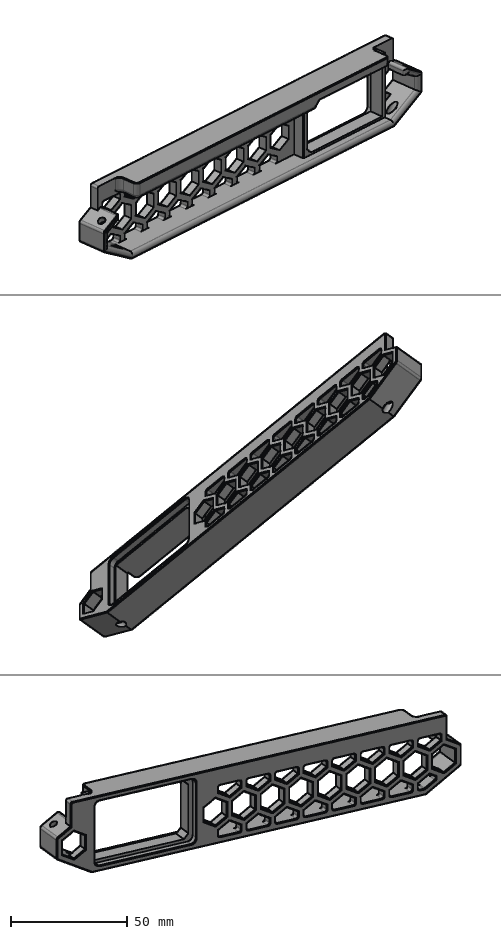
import cadquery as cq
import math

DEPTH = 15.0
LENGTH = 200.0
HEIGHT = 35.5

PLATE_THICKNESS = 4.5
EDGE_CHAMFER = 0.4
EAR_CORNER_RADIUS = 1.5
PANEL_CORNER_RADIUS = 1.0
GRIP = 0.1
SLOPE_ANGLE = math.radians(30)
ARC_MIDDLE = 1 - math.sqrt(0.5)
SIN_30 = math.sin(SLOPE_ANGLE)
COS_30 = math.cos(SLOPE_ANGLE)
TAN_30 = math.tan(SLOPE_ANGLE)

HEX_FLATS = 11.2
HEX_PITCH = 14.12
HEX_CENTER_Z = 15.0
EAR_APOTHEM = 8.56
EAR_CENTER_Y = LENGTH / 2 - EAR_APOTHEM
ROW_SPACING = HEX_PITCH * COS_30
FULL_HEX_COUNT = 9
PART_HEX_COUNT = 8
CELL_CORNER_RADIUS = 1.0

PANEL_HALF_LENGTH = 93.0
EAR_CORNER_RISE = EAR_APOTHEM * TAN_30
EAR_LOW_Z = HEX_CENTER_Z - EAR_CORNER_RISE
EAR_HIGH_Z = HEX_CENTER_Z + EAR_CORNER_RISE
SHOULDER_Z = EAR_HIGH_Z + (LENGTH / 2 - PANEL_HALF_LENGTH) * TAN_30
BOTTOM_HALF_LENGTH = LENGTH / 2 - EAR_LOW_Z / TAN_30

FLANGE_HALF_LENGTH = 79.5
FLANGE_BOTTOM_Z = 27.5
FLANGE_RADIUS = 2.0
FLANGE_ROOT_RADIUS = 2.5

RIM_WALL = EAR_APOTHEM - HEX_FLATS / 2
RIM_END_Y = 89.9
RIM_END_RADIUS = 1.2
RIM_INNER_RADIUS = 1.9

WINDOW_CENTER_Y = 56.6
WINDOW_CENTER_Z = 17.8
WINDOW_LENGTH = 47.0
WINDOW_HEIGHT = 27.5
WINDOW_CORNER = 2.3
RECESS_CENTER_Y = 56.1
RECESS_LENGTH = 50.0
RECESS_HEIGHT = 30.5
RECESS_DEPTH = 3.2
RECESS_RADIUS = 2.5
FRAME_BACK_X = 10.0
FRAME_WALL = 2.5

SCREW_DIAMETER = 3.4
SCREW_X = 9.8
SCREW_OFFSET_Y = 0.5


def prism(points, start_x, end_x):
    """Extrude a closed (Y, Z) outline along X."""
    return cq.Workplane("YZ", origin=(start_x, 0, 0)).polyline(points).close().extrude(end_x - start_x)


def block(start_x, end_x, start_y, end_y, start_z, end_z):
    """Box between two corners."""
    size = (end_x - start_x, end_y - start_y, end_z - start_z)
    return cq.Workplane("XY").box(*size, centered=False).translate((start_x, start_y, start_z))


def hexagon(center_y, center_z, apothem, start_x, end_x):
    """Hexagonal prism along X with a corner pointing up."""
    radius = apothem / COS_30
    points = []
    for corner in range(6):
        angle = math.radians(30 + 60 * corner)
        points.append((center_y + radius * math.cos(angle), center_z + radius * math.sin(angle)))
    return prism(points, start_x, end_x)


def mirrored(half_outline):
    """Complete a (Y, Z) half outline with its mirror image about Y = 0."""
    return half_outline + [(-y, z) for y, z in reversed(half_outline)]


def base_corner(inset):
    """Corner between the flat bottom and the lower slope, moved inwards by inset."""
    return (BOTTOM_HALF_LENGTH - inset * math.tan(SLOPE_ANGLE / 2), inset)


def lower_outline(inset, tip_y):
    """Outline of the base and ears, moved inwards by inset; the upper slopes stop at tip_y."""
    side_y = LENGTH / 2 - inset
    rise = (EAR_APOTHEM - inset) * TAN_30
    tip_z = HEX_CENTER_Z + rise + (side_y - tip_y) * TAN_30
    return mirrored([
        base_corner(inset),
        (side_y, HEX_CENTER_Z - rise),
        (side_y, HEX_CENTER_Z + rise),
        (tip_y, tip_z),
    ])


def round_ear_sides(solid):
    """Round the corners at the ends of the vertical ear faces."""
    for end_y in (-LENGTH / 2, LENGTH / 2):
        ear_end = cq.selectors.BoxSelector((0, end_y - GRIP, 0), (DEPTH, end_y + GRIP, HEIGHT))
        solid = solid.edges("|X").edges(ear_end).fillet(EAR_CORNER_RADIUS)
    return solid


def make_plate():
    """Front plate: upper panel joined to the ears and the base."""
    half = [
        (BOTTOM_HALF_LENGTH, 0),
        (LENGTH / 2, EAR_LOW_Z),
        (LENGTH / 2, EAR_HIGH_Z),
        (PANEL_HALF_LENGTH, SHOULDER_Z),
        (PANEL_HALF_LENGTH, HEIGHT),
    ]
    plate = round_ear_sides(prism(mirrored(half), 0, PLATE_THICKNESS))
    return plate.edges("|X").edges(">Z").fillet(PANEL_CORNER_RADIUS)


def make_full_cells():
    """Whole hexagons: a row from the -Y ear to the window, and one in the +Y ear."""
    centers = [-EAR_CENTER_Y + column * HEX_PITCH for column in range(FULL_HEX_COUNT)]
    centers.append(EAR_CENTER_Y)
    return [hexagon(y, HEX_CENTER_Z, HEX_FLATS / 2, 0, PLATE_THICKNESS) for y in centers]


def make_part_cells():
    """Hexagons of the rows above and below, cut off along the flange, the base and the lower slope."""
    top_z = FLANGE_BOTTOM_Z - EDGE_CHAMFER
    side_corner = (LENGTH / 2 - RIM_WALL, HEX_CENTER_Z - (EAR_APOTHEM - RIM_WALL) * TAN_30)
    limit_outline = mirrored([base_corner(RIM_WALL), side_corner, (side_corner[0], top_z)])
    limit = prism(limit_outline, 0, PLATE_THICKNESS)
    cells = []
    for column in range(PART_HEX_COUNT):
        center_y = -EAR_CENTER_Y + (column + 0.5) * HEX_PITCH
        for row, outer_corners in ((-1, "<Z"), (1, ">Z")):
            center_z = HEX_CENTER_Z + row * ROW_SPACING
            cell = hexagon(center_y, center_z, HEX_FLATS / 2, 0, PLATE_THICKNESS).intersect(limit)
            cell = cell.edges("|X").edges(outer_corners).fillet(CELL_CORNER_RADIUS)
            if row == -1 and column == 0:
                cell = cell.edges("|X").edges("<Y").fillet(CELL_CORNER_RADIUS)
            cells.append(cell)
    return cells


def window_block(start_x, end_x, center_y, length, height):
    """Box along X at the height of the window."""
    return block(
        start_x,
        end_x,
        center_y - length / 2,
        center_y + length / 2,
        WINDOW_CENTER_Z - height / 2,
        WINDOW_CENTER_Z + height / 2,
    )


def make_window():
    """Opening through the full depth, with cut corners at the honeycomb end."""
    opening = window_block(0, DEPTH, WINDOW_CENTER_Y, WINDOW_LENGTH, WINDOW_HEIGHT)
    return opening.edges("|X").edges("<Y").chamfer(WINDOW_CORNER)


def make_recess():
    """Shallow rounded pocket around the window in the front face."""
    recess = window_block(0, RECESS_DEPTH, RECESS_CENTER_Y, RECESS_LENGTH, RECESS_HEIGHT)
    return recess.edges("|X").fillet(RECESS_RADIUS)


def make_ear_tip_limit():
    """Solid base and ears, open between the ears, with the tips of the ears rounded."""
    body = prism(lower_outline(0, RIM_END_Y), PLATE_THICKNESS, DEPTH)
    body = body.cut(block(PLATE_THICKNESS, DEPTH, -RIM_END_Y, RIM_END_Y, HEX_CENTER_Z, HEIGHT))
    return body.edges("|X").edges(">Z").fillet(RIM_END_RADIUS)


def make_access_gap():
    """Space between the ear tips, flaring with a rounded edge at the back."""
    half = RIM_END_Y
    radius = RIM_INNER_RADIUS
    bulge = radius * ARC_MIDDLE
    return (
        cq.Workplane("XY", origin=(0, 0, HEX_CENTER_Z))
        .moveTo(PLATE_THICKNESS, -half)
        .lineTo(DEPTH - radius, -half)
        .threePointArc((DEPTH - bulge, -half - bulge), (DEPTH, -half - radius))
        .lineTo(DEPTH, half + radius)
        .threePointArc((DEPTH - bulge, half + bulge), (DEPTH - radius, half))
        .lineTo(PLATE_THICKNESS, half)
        .close()
        .extrude(HEIGHT - HEX_CENTER_Z)
    )


def make_rim():
    """Wall standing behind the plate along the base and around the ears."""
    ring = round_ear_sides(prism(lower_outline(0, RIM_END_Y), PLATE_THICKNESS, DEPTH))
    ring = ring.cut(prism(lower_outline(RIM_WALL, EAR_CENTER_Y), PLATE_THICKNESS, DEPTH))
    inner_edges = ring.faces(">X").val().innerWires()[0].Edges()
    ring = ring.newObject(inner_edges).fillet(RIM_INNER_RADIUS)
    outer_edges = ring.faces(">X").val().outerWire().Edges()
    ring = ring.newObject(outer_edges).chamfer(EDGE_CHAMFER)
    return ring.intersect(make_ear_tip_limit()).cut(make_access_gap())


def make_flange():
    """Solid bar along the top edge, with rounded free ends."""
    root = FLANGE_ROOT_RADIUS
    half = FLANGE_HALF_LENGTH
    inner = PLATE_THICKNESS
    dip = root * ARC_MIDDLE
    flange = (
        cq.Workplane("XY", origin=(0, 0, FLANGE_BOTTOM_Z))
        .moveTo(inner, -half - root)
        .threePointArc((inner + dip, -half - dip), (inner + root, -half))
        .lineTo(DEPTH, -half)
        .lineTo(DEPTH, half)
        .lineTo(inner + root, half)
        .threePointArc((inner + dip, half + dip), (inner, half + root))
        .close()
        .extrude(HEIGHT - FLANGE_BOTTOM_Z)
    )
    flange = flange.edges(">X and |Z").fillet(FLANGE_RADIUS)
    free_ends_and_back = cq.selectors.BoxSelector(
        (inner + root - GRIP, -LENGTH, 0), (DEPTH + GRIP, LENGTH, HEIGHT)
    )
    flange = flange.faces("<Z").edges().edges(free_ends_and_back).fillet(FLANGE_RADIUS)
    return flange.faces(">Z").edges(">X").chamfer(EDGE_CHAMFER)


def make_frame():
    """Wall around the window, standing behind the plate."""
    frame = window_block(
        PLATE_THICKNESS,
        FRAME_BACK_X,
        WINDOW_CENTER_Y,
        WINDOW_LENGTH + 2 * FRAME_WALL,
        WINDOW_HEIGHT + 2 * FRAME_WALL,
    )
    return frame.faces(">X").edges().chamfer(EDGE_CHAMFER)


def drill_screw_holes(body):
    """Screw holes entering square to the upper ear slopes and leaving through the lower slopes."""
    length = 2 * HEIGHT
    for side in (-1, 1):
        direction = cq.Vector(0, -side * SIN_30, -COS_30)
        middle = cq.Vector(SCREW_X, side * (EAR_CENTER_Y + SCREW_OFFSET_Y), HEX_CENTER_Z)
        start = middle - direction * (length / 2)
        drill = cq.Solid.makeCylinder(SCREW_DIAMETER / 2, length, start, direction)
        body = body.cut(cq.Workplane(drill))
    return body


plate = make_plate().cut(make_recess()).cut(make_window())
for cell in make_full_cells() + make_part_cells():
    plate = plate.cut(cell)
plate = plate.faces("<X").edges().chamfer(EDGE_CHAMFER)
back = make_rim().union(make_flange()).union(make_frame()).cut(make_window())
result = drill_screw_holes(plate.union(back))